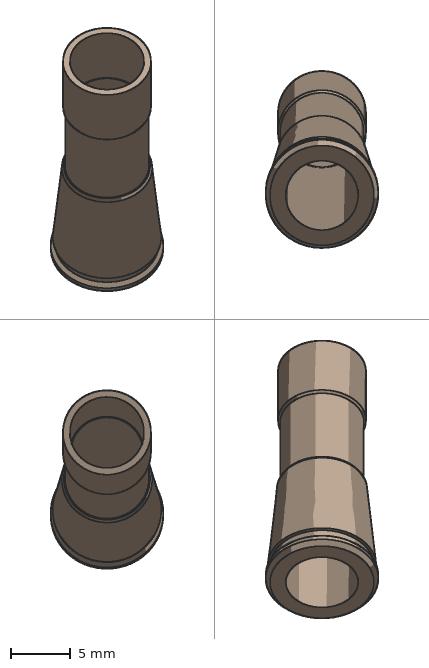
import cadquery as cq

total_height = 24.5

rim_radius = 4.7
rim_base_radius = 4.34
groove_radius = 4.35
skirt_bottom_radius = 4.53
skirt_top_radius = 3.77
shoulder_radius = 3.6
neck_radius = 3.5
collar_radius = 3.68

rim_bottom_z = 0.45
rim_top_z = 0.83
groove_bottom_z = 1.2
groove_top_z = 1.81
skirt_bottom_z = 1.9
skirt_top_z = 10.8
shoulder_z = 11.1
neck_top_z = 18.55
collar_bottom_z = 18.77

bore_radius = 3.01
collar_bore_radius = 3.09


def turned_body():
    """Solid of revolution about Z, with rim, groove, tapered skirt, neck and collar."""
    profile = [
        (0, 0),
        (rim_base_radius, 0),
        (rim_radius, rim_bottom_z),
        (rim_radius, rim_top_z),
        (groove_radius, groove_bottom_z),
        (groove_radius, groove_top_z),
        (skirt_bottom_radius, skirt_bottom_z),
        (skirt_top_radius, skirt_top_z),
        (shoulder_radius, shoulder_z),
        (neck_radius, shoulder_z),
        (neck_radius, neck_top_z),
        (collar_radius, collar_bottom_z),
        (collar_radius, total_height),
        (0, total_height),
    ]
    return cq.Workplane("XZ").polyline(profile).close().revolve(360, (0, 0, 0), (0, 1, 0))


def stepped_bore():
    """Through bore with its wider stretch reaching down to the collar's lower edge."""
    through = cq.Workplane("XY").circle(bore_radius).extrude(total_height)
    wide = (
        cq.Workplane("XY", origin=(0, 0, collar_bottom_z))
        .circle(collar_bore_radius)
        .extrude(total_height - collar_bottom_z)
    )
    return through.union(wide)


result = turned_body().cut(stepped_bore())